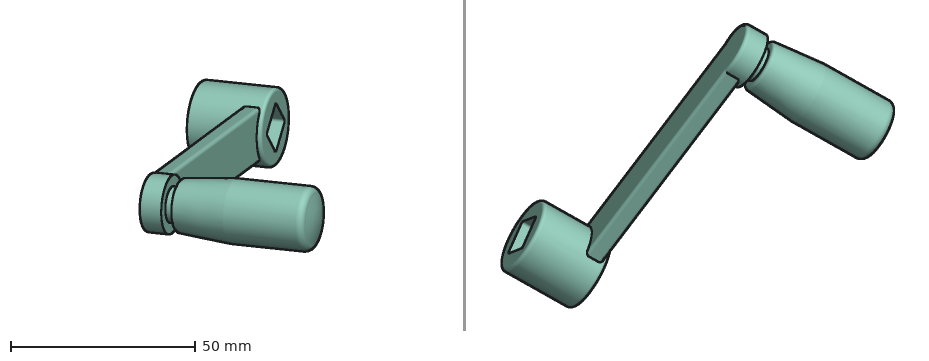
import cadquery as cq
import math

HUB_RADIUS = 11.0
HUB_LENGTH = 22.0
CRANK_REACH = 80.0
ARM_WIDTH = 15.2
ARM_THICKNESS = 5.2
BOSS_RADIUS = 8.2
BOSS_THICKNESS = 6.6
EDGE_RADIUS = 1.0
SOCKET_SIZE = 10.0
SOCKET_CORNER_RADIUS = 0.8
ARM_START = HUB_LENGTH - BOSS_THICKNESS

SPINDLE_RADIUS = 5.0
SPINDLE_LENGTH = 2.4

GRIP_START = HUB_LENGTH + SPINDLE_LENGTH
GRIP_END = 64.5
GRIP_RADIUS = 9.0
GRIP_SMALL_RADIUS = 7.5
TAPER_END = 40.3
END_ROUND_START = 61.3
DOME_START = 63.4
DOME_EDGE_RADIUS = 7.0


def cylinder(start, length, radius, y=0.0):
    """Cylinder along +X with its axis at the given Y."""
    return cq.Workplane("YZ", origin=(start, y, 0)).circle(radius).extrude(length)


def make_arm():
    """Flat bar from the hub axis to the handle axis, its long edges rounded."""
    bar = cq.Workplane("XY").box(ARM_THICKNESS, CRANK_REACH, ARM_WIDTH)
    bar = bar.edges("|Y").fillet(EDGE_RADIUS)
    return bar.translate((ARM_START + ARM_THICKNESS / 2, -CRANK_REACH / 2, 0))


def make_socket():
    """Square through hole standing on one corner."""
    socket = cq.Workplane("YZ").rect(SOCKET_SIZE, SOCKET_SIZE).extrude(HUB_LENGTH)
    socket = socket.edges("|X").fillet(SOCKET_CORNER_RADIUS)
    return socket.rotate((0, 0, 0), (1, 0, 0), 45)


def make_crank():
    hub = cylinder(0, HUB_LENGTH, HUB_RADIUS).edges().fillet(EDGE_RADIUS)
    boss = cylinder(ARM_START, BOSS_THICKNESS, BOSS_RADIUS, -CRANK_REACH)
    boss = boss.faces("<X").edges().fillet(EDGE_RADIUS)
    return hub.union(make_arm()).union(boss).cut(make_socket())


def make_spindle():
    return cylinder(HUB_LENGTH, SPINDLE_LENGTH, SPINDLE_RADIUS, -CRANK_REACH)


def make_grip():
    """Half profile of the grip, revolved about the handle axis."""
    run = DOME_START - END_ROUND_START
    drop = GRIP_RADIUS - DOME_EDGE_RADIUS
    round_radius = (run**2 + drop**2) / (2 * drop)
    half_angle = math.atan2(run, round_radius - drop) / 2
    round_middle = (
        END_ROUND_START + round_radius * math.sin(half_angle),
        GRIP_RADIUS - round_radius * (1 - math.cos(half_angle)),
    )
    dome_height = GRIP_END - DOME_START
    dome_radius = (DOME_EDGE_RADIUS**2 + dome_height**2) / (2 * dome_height)
    dome_half_angle = math.asin(DOME_EDGE_RADIUS / dome_radius) / 2
    dome_middle = (
        GRIP_END - dome_radius * (1 - math.cos(dome_half_angle)),
        dome_radius * math.sin(dome_half_angle),
    )
    grip = (
        cq.Workplane("XY")
        .moveTo(GRIP_START, 0)
        .lineTo(GRIP_START, GRIP_SMALL_RADIUS)
        .lineTo(TAPER_END, GRIP_RADIUS)
        .lineTo(END_ROUND_START, GRIP_RADIUS)
        .threePointArc(round_middle, (DOME_START, DOME_EDGE_RADIUS))
        .threePointArc(dome_middle, (GRIP_END, 0))
        .close()
        .revolve(360, (0, 0, 0), (1, 0, 0))
    )
    grip = grip.faces("<X").edges().fillet(EDGE_RADIUS)
    return grip.translate((0, -CRANK_REACH, 0))


crank = make_crank()
spindle = make_spindle()
grip = make_grip()

result = cq.Compound.makeCompound([crank.val(), spindle.val(), grip.val()])